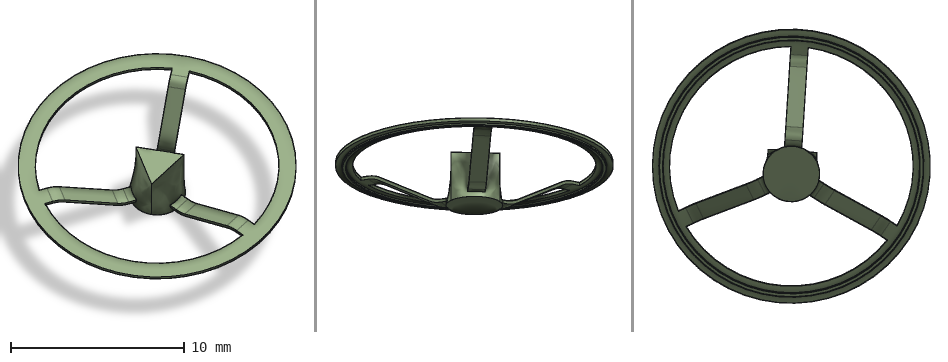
import cadquery as cq
import math

rim_radius = 8.02
rim_inner_radius = 7.03
rim_top = 2.62
sheet_thickness = 0.2
rim_bottom = rim_top - sheet_thickness
lip_radius = 7.65
lip_inner_radius = rim_inner_radius + rim_radius - lip_radius
lip_height = 0.15
lip_chamfer = 0.05

hub_radius = 1.64
hub_height = 2.95
corner_angles = [90, 210, 330]

spoke_count = 3
spoke_width = 1.01
spoke_bottom = 0.34
spoke_start = 0.65
lower_bend_start = 1.91
upper_bend_end = 6.55
bend_radius = 1.5
spoke_end = (rim_inner_radius + rim_radius) / 2


def polar(radius, angle, z):
    """Point at a polar position around the hub axis; the angle is in degrees."""
    turn = math.radians(angle)
    return cq.Vector(radius * math.cos(turn), radius * math.sin(turn), z)


def make_rim():
    underside = cq.Workplane("XY", origin=(0, 0, rim_bottom))
    ring = underside.circle(rim_radius).circle(rim_inner_radius).extrude(sheet_thickness)
    lip = underside.circle(lip_radius).circle(lip_inner_radius).extrude(-lip_height)
    lip = lip.faces("<Z").edges().chamfer(lip_chamfer)
    return ring.union(lip)


def make_hub():
    """Ruled loft joining each triangle side to one third of the base circle."""
    base_arcs = []
    top_sides = []
    step = 360 / len(corner_angles)
    for angle in corner_angles:
        base_arcs.append(
            cq.Edge.makeThreePointArc(
                polar(hub_radius, angle, 0),
                polar(hub_radius, angle + step / 2, 0),
                polar(hub_radius, angle + step, 0),
            )
        )
        top_sides.append(
            cq.Edge.makeLine(
                polar(hub_radius, angle, hub_height),
                polar(hub_radius, angle + step, hub_height),
            )
        )
    base = cq.Wire.assembleEdges(base_arcs)
    top = cq.Wire.assembleEdges(top_sides)
    return cq.Workplane(cq.Solid.makeLoft([base, top], True))


def make_spoke():
    """Strip along +X, swept through two opposite bends from the hub up to the rim."""
    low = spoke_bottom + sheet_thickness / 2
    high = rim_top - sheet_thickness / 2
    slope = 0.0
    for _ in range(20):
        tangent = bend_radius * math.tan(slope / 2)
        slope = math.atan2(high - low, upper_bend_end - lower_bend_start - 2 * tangent)
    bend_run = bend_radius * math.sin(slope)
    bend_rise = bend_radius * (1 - math.cos(slope))
    path = (
        cq.Workplane("XZ")
        .moveTo(spoke_start, low)
        .lineTo(lower_bend_start, low)
        .tangentArcPoint((lower_bend_start + bend_run, low + bend_rise), relative=False)
        .lineTo(upper_bend_end - bend_run, high - bend_rise)
        .tangentArcPoint((upper_bend_end, high), relative=False)
        .lineTo(spoke_end, high)
    )
    section = cq.Workplane("YZ", origin=(spoke_start, 0, low)).rect(spoke_width, sheet_thickness)
    return section.sweep(path)


result = make_rim().union(make_hub())
spoke = make_spoke()
for index in range(spoke_count):
    spoke_angle = 30 + index * 360 / spoke_count
    result = result.union(spoke.rotate((0, 0, 0), (0, 0, 1), spoke_angle))